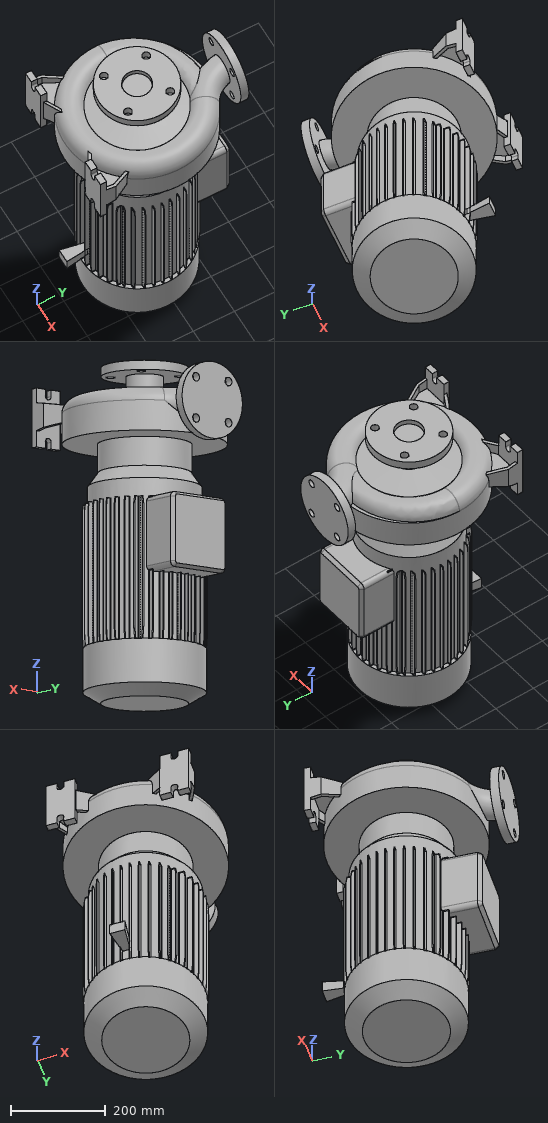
import cadquery as cq
import math


SUCTION_TOP = 100
FLANGE_THICKNESS = 20
BOLT_HOLE_DIAMETER = 18
BOLT_COUNT = 4
FIRST_BOLT_ANGLE = 45
SUCTION_FLANGE_DIAMETER = 185
SUCTION_BOLT_CIRCLE = 145
SUCTION_BORE_DIAMETER = 65
SUCTION_BORE_DEPTH = 12
SUCTION_NECK_RADIUS = 40

VOLUTE_RADIUS = 175
TUBE_RADIUS = 33
VOLUTE_BOTTOM = -65
TUBE_PATH_RADIUS = VOLUTE_RADIUS - TUBE_RADIUS
TUBE_INNER_RADIUS = TUBE_PATH_RADIUS - TUBE_RADIUS
COVER_RADIUS = 120
COVER_EDGE_HEIGHT = 13
COVER_NECK_HEIGHT = 25

DISCHARGE_FACE_Y = 225
DISCHARGE_FLANGE_DIAMETER = 165
DISCHARGE_BOLT_CIRCLE = 125
OUTLET_ANGLE = 2 * math.degrees(math.atan(TUBE_PATH_RADIUS / DISCHARGE_FACE_Y))
SPIRAL_START_ANGLE = 180
SPIRAL_END_RADIUS = 26.5
SPIRAL_SECTIONS = 6

LANTERN_RADIUS = 100
LANTERN_BOTTOM = -127
MOTOR_CORE_RADIUS = 121.5
SHOULDER_BOTTOM = -157
FIN_TOP = -197
FIN_BOTTOM = -503
FAN_COVER_RADIUS = 131
FAN_COVER_BOTTOM = -597
MOTOR_BOTTOM = -620
MOTOR_END_RADIUS = 93

FIN_TIP_RADIUS = 133
FIN_THICKNESS = 2
FIN_OFFSETS = (10, 30, 50, 70)
CORNER_FIN_OFFSET = 85
CORNER_FIN_TIP_RADIUS = 130
FIN_TIP_RELIEF = 2
FIN_TOP_TAPER = 16
FIN_BOTTOM_TAPER = 26

BOX_WIDTH = 148
BOX_TOP = -197
BOX_BOTTOM = -358
BOX_FACE_Y = 185
BOX_EDGE_RADIUS = 11
BOX_BEVEL_DEPTH = 9
BOX_BEVEL_INSET = 6.5

POST_FACE_Y = -180
POST_ROOT_Y = -118
POST_Z = -453
POST_FACE_SIZE = (34, 28)
POST_ROOT_SIZE = (16, 20)

FOOT_FACE_Y = -180
FOOT_THICKNESS = 15
FOOT_OUTER_X = 160
FOOT_WIDTH = 65
FOOT_TOP = 62
SLOT_WIDTH = 15
SLOT_DEPTH = 22
WEB_THICKNESS = 7
WEB_HALF_HEIGHT = 30
WEB_TAPER_ANGLE = 10
OUTER_RIB_BEND_Y = -142
OUTER_RIB_END_Y = -95
OUTER_RIB_ANGLE = 27
INNER_RIB_ROOT_Y = -173.5
INNER_RIB_END_X = 54
INNER_RIB_ANGLE = 30


def drill_bolt_circle(flange, circle_diameter):
    return (
        flange.polarArray(circle_diameter / 2, FIRST_BOLT_ANGLE, 360, BOLT_COUNT)
        .hole(BOLT_HOLE_DIAMETER)
    )


def make_suction():
    flange_bottom = SUCTION_TOP - FLANGE_THICKNESS
    flange = (
        cq.Workplane("XY", origin=(0, 0, flange_bottom))
        .circle(SUCTION_FLANGE_DIAMETER / 2)
        .extrude(FLANGE_THICKNESS)
    )
    flange = drill_bolt_circle(flange.faces(">Z").workplane(), SUCTION_BOLT_CIRCLE)
    flange = flange.faces(">Z").workplane().hole(SUCTION_BORE_DIAMETER, SUCTION_BORE_DEPTH)
    neck = cq.Workplane("XY").circle(SUCTION_NECK_RADIUS).extrude(flange_bottom)
    return flange.union(neck)


def make_casing_and_motor():
    """Turned body: casing drum with conical cover, lantern, motor core and fan cover."""
    return (
        cq.Workplane("XZ")
        .moveTo(0, COVER_NECK_HEIGHT)
        .lineTo(SUCTION_NECK_RADIUS, COVER_NECK_HEIGHT)
        .lineTo(COVER_RADIUS, COVER_EDGE_HEIGHT)
        .lineTo(COVER_RADIUS, 0)
        .lineTo(VOLUTE_RADIUS, 0)
        .lineTo(VOLUTE_RADIUS, VOLUTE_BOTTOM)
        .lineTo(LANTERN_RADIUS, VOLUTE_BOTTOM)
        .lineTo(LANTERN_RADIUS, LANTERN_BOTTOM)
        .lineTo(MOTOR_CORE_RADIUS, SHOULDER_BOTTOM)
        .lineTo(MOTOR_CORE_RADIUS, FIN_BOTTOM)
        .lineTo(FAN_COVER_RADIUS, FIN_BOTTOM)
        .lineTo(FAN_COVER_RADIUS, FAN_COVER_BOTTOM)
        .lineTo(MOTOR_END_RADIUS, MOTOR_BOTTOM)
        .lineTo(0, MOTOR_BOTTOM)
        .close()
        .revolve(360, (0, 0, 0), (0, 1, 0))
    )


def radial_plane(angle, radius):
    """Plane through a point at the given angle and radius, square to the volute path."""
    radians = math.radians(angle)
    outward = (math.cos(radians), math.sin(radians), 0)
    along = (-math.sin(radians), math.cos(radians), 0)
    return cq.Plane(origin=(radius * outward[0], radius * outward[1], 0), xDir=outward, normal=along)


def make_volute_tube():
    """Constant part of the volute, from the spiral end round through -Y to the outlet bend."""
    sweep_angle = 360 - SPIRAL_START_ANGLE + OUTLET_ANGLE
    return (
        cq.Workplane("XZ")
        .center(-TUBE_PATH_RADIUS, 0)
        .circle(TUBE_RADIUS)
        .revolve(sweep_angle, (TUBE_PATH_RADIUS, 0, 0), (TUBE_PATH_RADIUS, 1, 0))
    )


def make_spiral():
    """Shrinking part of the volute; its inner edge keeps a constant radius."""
    wires = []
    for index in range(SPIRAL_SECTIONS):
        fraction = index / (SPIRAL_SECTIONS - 1)
        angle = SPIRAL_START_ANGLE + fraction * (OUTLET_ANGLE - SPIRAL_START_ANGLE)
        radius = TUBE_RADIUS + fraction * (SPIRAL_END_RADIUS - TUBE_RADIUS)
        plane = radial_plane(angle, TUBE_INNER_RADIUS + radius)
        wires.append(cq.Workplane(plane).circle(radius).wires().val())
    return cq.Workplane(cq.Solid.makeLoft(wires))


def make_discharge():
    start = radial_plane(OUTLET_ANGLE, TUBE_PATH_RADIUS)
    bend_radius = start.origin.x / (1 - math.cos(math.radians(OUTLET_ANGLE)))
    half_angle = math.radians(OUTLET_ANGLE / 2)
    bend_middle = (
        bend_radius * (1 - math.cos(half_angle)),
        DISCHARGE_FACE_Y - bend_radius * math.sin(half_angle),
    )
    bend_path = (
        cq.Workplane("XY")
        .moveTo(start.origin.x, start.origin.y)
        .threePointArc(bend_middle, (0, DISCHARGE_FACE_Y))
    )
    bend = cq.Workplane(start).circle(TUBE_RADIUS).sweep(bend_path)
    flange = (
        cq.Workplane("XZ", origin=(0, DISCHARGE_FACE_Y, 0))
        .circle(DISCHARGE_FLANGE_DIAMETER / 2)
        .extrude(FLANGE_THICKNESS)
    )
    flange = drill_bolt_circle(flange.faces(">Y").workplane(), DISCHARGE_BOLT_CIRCLE)
    return flange.union(bend)


def make_fins(offsets, tip_radius):
    """Flat fins parallel to X and to Y, trimmed to a drum with tapered ends."""
    fin_length = FIN_TOP - FIN_BOTTOM
    end_radius = tip_radius - FIN_TIP_RELIEF
    drum = (
        cq.Workplane("XZ")
        .moveTo(0, FIN_TOP)
        .lineTo(end_radius, FIN_TOP)
        .lineTo(tip_radius, FIN_TOP - FIN_TOP_TAPER)
        .lineTo(tip_radius, FIN_BOTTOM + FIN_BOTTOM_TAPER)
        .lineTo(end_radius, FIN_BOTTOM)
        .lineTo(0, FIN_BOTTOM)
        .close()
        .revolve(360, (0, 0, 0), (0, 1, 0))
    )
    positions = [side * offset for offset in offsets for side in (-1, 1)]
    slab_length = 2 * tip_radius
    base = cq.Workplane("XY", origin=(0, 0, FIN_BOTTOM))
    along_x = (
        base.pushPoints([(0, position) for position in positions])
        .rect(slab_length, FIN_THICKNESS)
        .extrude(fin_length)
    )
    along_y = (
        base.pushPoints([(position, 0) for position in positions])
        .rect(FIN_THICKNESS, slab_length)
        .extrude(fin_length)
    )
    return along_x.union(along_y).intersect(drum)


def make_terminal_box():
    height = BOX_TOP - BOX_BOTTOM
    center = (0, 0, (BOX_TOP + BOX_BOTTOM) / 2)
    return (
        cq.Workplane("XZ", origin=center)
        .rect(BOX_WIDTH, height)
        .extrude(-BOX_FACE_Y)
        .edges("|Y")
        .fillet(BOX_EDGE_RADIUS)
        .faces(">Y")
        .chamfer(BOX_BEVEL_DEPTH, BOX_BEVEL_INSET)
    )


def make_post():
    return (
        cq.Workplane("XZ", origin=(0, POST_ROOT_Y, POST_Z))
        .rect(*POST_ROOT_SIZE)
        .workplane(offset=POST_ROOT_Y - POST_FACE_Y)
        .rect(*POST_FACE_SIZE)
        .loft()
    )


def make_foot_plate():
    plate_center_x = FOOT_OUTER_X - FOOT_WIDTH / 2
    height = FOOT_TOP - VOLUTE_BOTTOM
    plate = (
        cq.Workplane("XZ", origin=(plate_center_x, FOOT_FACE_Y + FOOT_THICKNESS, VOLUTE_BOTTOM + height / 2))
        .rect(FOOT_WIDTH, height)
        .extrude(FOOT_THICKNESS)
    )
    slots = (
        cq.Workplane("XZ", origin=(plate_center_x, 0, 0))
        .pushPoints([(0, FOOT_TOP), (0, VOLUTE_BOTTOM)])
        .slot2D(2 * SLOT_DEPTH, SLOT_WIDTH, 90)
        .extrude(-FOOT_FACE_Y)
    )
    return plate.cut(slots)


def make_foot_web():
    """Two upright ribs joined by a level floor, all narrowing in height toward the volute."""
    plate_back_y = FOOT_FACE_Y + FOOT_THICKNESS
    plate_inner_x = FOOT_OUTER_X - FOOT_WIDTH
    outer_angle = math.radians(OUTER_RIB_ANGLE)
    inner_angle = math.radians(INNER_RIB_ANGLE)
    taper_slope = math.tan(math.radians(WEB_TAPER_ANGLE))

    outer_end_x = FOOT_OUTER_X - (OUTER_RIB_END_Y - OUTER_RIB_BEND_Y) * math.tan(outer_angle)
    inner_end_y = INNER_RIB_ROOT_Y + (plate_inner_x - INNER_RIB_END_X) * math.tan(inner_angle)
    footprint = [
        (plate_inner_x, plate_back_y),
        (FOOT_OUTER_X, plate_back_y),
        (FOOT_OUTER_X, OUTER_RIB_BEND_Y),
        (outer_end_x, OUTER_RIB_END_Y),
        (INNER_RIB_END_X, inner_end_y),
        (plate_inner_x, INNER_RIB_ROOT_Y),
    ]
    outer_rib_width = WEB_THICKNESS / math.cos(outer_angle)
    inner_rib_rise = WEB_THICKNESS / math.cos(inner_angle)
    pocket_outline = [
        (plate_inner_x, INNER_RIB_ROOT_Y + inner_rib_rise),
        (plate_inner_x, FOOT_FACE_Y),
        (FOOT_OUTER_X - WEB_THICKNESS, FOOT_FACE_Y),
        (FOOT_OUTER_X - WEB_THICKNESS, OUTER_RIB_BEND_Y - WEB_THICKNESS * math.tan(outer_angle / 2)),
        (outer_end_x - outer_rib_width, OUTER_RIB_END_Y),
        (INNER_RIB_END_X, OUTER_RIB_END_Y),
        (INNER_RIB_END_X, inner_end_y + inner_rib_rise),
    ]

    def half_height(y):
        return WEB_HALF_HEIGHT - taper_slope * (y - plate_back_y)

    envelope = (
        cq.Workplane("YZ")
        .moveTo(FOOT_FACE_Y, half_height(FOOT_FACE_Y))
        .lineTo(OUTER_RIB_END_Y, half_height(OUTER_RIB_END_Y))
        .lineTo(OUTER_RIB_END_Y, -half_height(OUTER_RIB_END_Y))
        .lineTo(FOOT_FACE_Y, -half_height(FOOT_FACE_Y))
        .close()
        .extrude(FOOT_OUTER_X)
    )
    full_height = 2 * half_height(FOOT_FACE_Y)
    upright = cq.Workplane("XY").polyline(footprint).close().extrude(full_height / 2, both=True)
    pocket = (
        cq.Workplane("XY", origin=(0, 0, WEB_THICKNESS / 2))
        .polyline(pocket_outline)
        .close()
        .extrude(full_height)
    )
    lower_pocket = pocket.mirror("XY")
    return upright.intersect(envelope).cut(pocket).cut(lower_pocket)


foot = make_foot_plate().union(make_foot_web())
features = [
    make_volute_tube(),
    make_spiral(),
    make_discharge(),
    make_suction(),
    make_fins(FIN_OFFSETS, FIN_TIP_RADIUS),
    make_fins((CORNER_FIN_OFFSET,), CORNER_FIN_TIP_RADIUS),
    make_terminal_box(),
    make_post(),
    foot,
    foot.mirror("YZ"),
]

result = make_casing_and_motor()
for feature in features:
    result = result.union(feature)